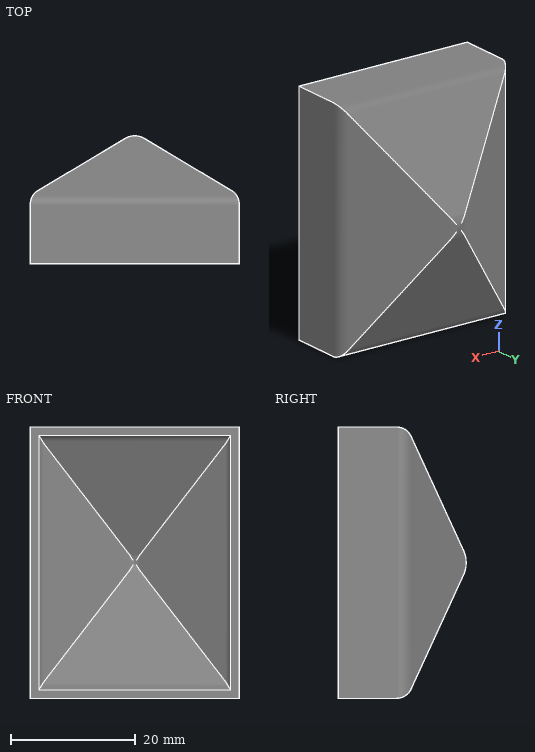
import cadquery as cq
import math

width = 33.5
depth = 20.53
height = 43.5

side_wall = 1.4
end_wall = 1.35
roof_wall = 1.3

eave_y = 11.0
apex_y = 21.0

outer_eave_radius = 2.6
inner_eave_radius = 1.6

pick_margin = 0.1

side_plane = cq.Plane(origin=(0, 0, 0), xDir=(1, 0, 0), normal=(0, 0, 1))
end_plane = cq.Plane(origin=(0, 0, 0), xDir=(0, 0, 1), normal=(-1, 0, 0))


def gable(plane, span, length, wall, roof, eave_radius):
    """Prism with a rounded gable; wall and roof move its faces inward, the mouth stays at Y = 0."""
    slope = math.atan((apex_y - eave_y) / (span / 2))
    outer_peak_radius = (apex_y - depth) / (1 / math.cos(slope) - 1)
    peak_radius = outer_peak_radius - roof

    half_span = span / 2 - wall
    peak = apex_y - roof / math.cos(slope)
    eave = peak - half_span * math.tan(slope)
    profile = [
        (-half_span, 0),
        (half_span, 0),
        (half_span, eave),
        (0, peak),
        (-half_span, eave),
    ]
    prism = cq.Workplane(plane).polyline(profile).close().extrude(length / 2, both=True)

    lengthwise = cq.selectors.ParallelDirSelector(plane.zDir)
    at_eave = cq.selectors.BoxSelector(
        (-height, eave - pick_margin, -height),
        (height, eave + pick_margin, height),
    )
    prism = prism.edges(lengthwise).edges(">Y").fillet(peak_radius)
    return prism.edges(lengthwise).edges(at_eave).fillet(eave_radius)


def hipped_body(side, end, roof, eave_radius):
    """Block with a hipped roof, where the two crossing gables overlap."""
    side_gable = gable(side_plane, width, height, side, roof, eave_radius)
    end_gable = gable(end_plane, height, width, end, roof, eave_radius)
    return side_gable.intersect(end_gable)


outer = hipped_body(0, 0, 0, outer_eave_radius)
cavity = hipped_body(side_wall, end_wall, roof_wall, inner_eave_radius)
result = outer.cut(cavity)